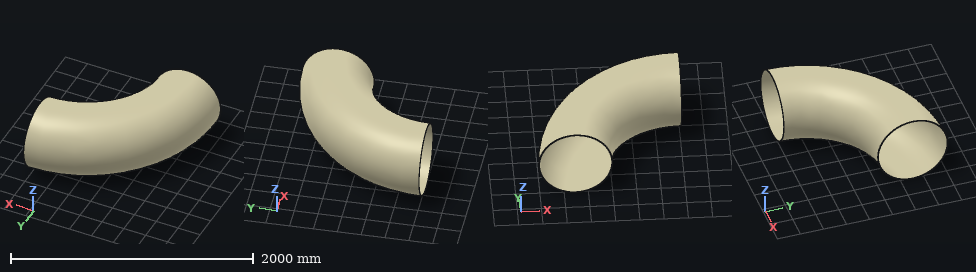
import cadquery as cq

outer_diameter = 610.0
wall_thickness = 6.0
overall_length = 1219.0
bend_angle = 90.0

outer_radius = outer_diameter / 2
inner_radius = outer_radius - wall_thickness
bend_radius = overall_length - outer_radius

pipe_section = (
    cq.Workplane("XZ")
    .center(-bend_radius, 0)
    .circle(outer_radius)
    .circle(inner_radius)
)

axis_start = (bend_radius, 0)
axis_end = (bend_radius, -1)
result = pipe_section.revolve(bend_angle, axis_start, axis_end)